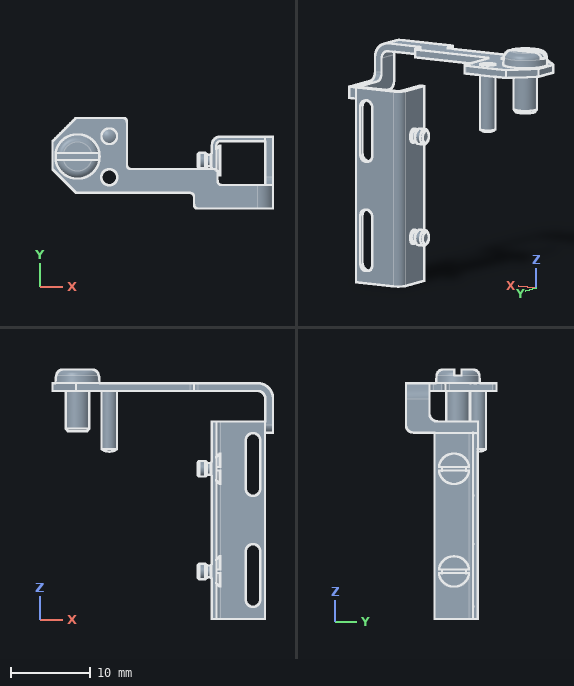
import cadquery as cq
import math

length = 27.9
width = 11.5
sheet = 1.0
plate_top = 29.82
plate_bottom = plate_top - sheet
bend_radius = 2.0
corner_radius = 0.5
nose_chamfer = 3.0
head_length = 9.45
arm_front = 2.0
arm_back = 5.02
foot_start = 17.9
foot_back_start = 20.9
foot_width = 3.0
flange_bottom = 23.55
flange_radius = 1.0
flange_inner = length - sheet

angle_height = 25.0
angle_left = 20.15
angle_front = 3.6
angle_back = 9.12
angle_sheet = 0.6
angle_inner_radius = 0.5
slot_width = 1.8
slot_length = 7.9
slot_x = 25.35
slot_heights = (5.52, 19.55)

screw_x = 3.2
screw_y = 6.6
screw_diameter = 3.0
screw_tip_diameter = 2.4
screw_bottom = 23.73
screw_tip_height = 0.38
screw_head_top = 31.55
screw_head_base_diameter = 5.62
screw_head_rim_diameter = 5.45
screw_head_rim_z = 30.77
screw_crown_diameter = 3.65
screw_slot_width = 0.88
screw_slot_depth = 0.75

pin_diameter = 2.0
pin_x = 7.2
pin_y = 9.15
pin_bottom = 21.15
pin_dome = 0.38
open_hole_y = 3.98

stud_y = 6.1
stud_heights = (6.03, 19.0)
stud_start = 18.35
stud_knob_diameter = 2.0
stud_neck_diameter = 1.5
stud_chamfer = (stud_knob_diameter - stud_neck_diameter) / 2
stud_knob_end = 19.3
stud_cone_start = 19.98
stud_head_diameter = 3.85
stud_cone_end = stud_cone_start + (stud_head_diameter - stud_neck_diameter) / 2
stud_end = 21.27
stud_slot_width = 0.45


def arc_midpoint(center, radius, degrees):
    """Point on a circle, used as the middle of a quarter arc."""
    turn = math.radians(degrees)
    return (center[0] + radius * math.cos(turn), center[1] + radius * math.sin(turn))


def revolve_about_z(profile, x, y):
    """Turn a closed (radius, Z) profile about the vertical axis through (x, y)."""
    return profile.close().revolve(360, (0, 0, 0), (0, 1, 0)).translate((x, y, 0))


def make_bracket():
    plan = (
        cq.Workplane("XY")
        .polyline([
            (0, arm_front + nose_chamfer),
            (nose_chamfer, arm_front),
            (foot_start, arm_front),
            (foot_start, 0),
            (length, 0),
            (length, foot_width),
            (foot_back_start, foot_width),
            (foot_back_start, arm_back),
            (head_length, arm_back),
            (head_length, width),
            (nose_chamfer, width),
            (0, width - nose_chamfer),
        ])
        .close()
        .extrude(plate_top)
    )
    rounded_corners = [
        (foot_start, arm_front),
        (foot_start, 0),
        (foot_back_start, foot_width),
        (foot_back_start, arm_back),
        (head_length, arm_back),
        (head_length, width),
    ]
    for x, y in rounded_corners:
        plan = plan.edges(cq.selectors.NearestToPointSelector((x, y, plate_top / 2))).fillet(corner_radius)

    bend_center = (length - bend_radius, plate_top - bend_radius)
    section = (
        cq.Workplane("XZ")
        .moveTo(0, plate_top)
        .lineTo(bend_center[0], plate_top)
        .threePointArc(arc_midpoint(bend_center, bend_radius, 45), (length, bend_center[1]))
        .lineTo(length, flange_bottom)
        .lineTo(flange_inner, flange_bottom)
        .lineTo(flange_inner, bend_center[1])
        .threePointArc(
            arc_midpoint(bend_center, bend_radius - sheet, 45), (bend_center[0], plate_bottom)
        )
        .lineTo(0, plate_bottom)
        .close()
        .extrude(-width)
    )
    bracket = plan.intersect(section)

    blend_center = (foot_width + flange_radius, angle_height + flange_radius)
    tab = (
        cq.Workplane("YZ", origin=(flange_inner, 0, 0))
        .moveTo(foot_width, flange_bottom)
        .lineTo(angle_back, flange_bottom)
        .lineTo(angle_back, angle_height)
        .lineTo(blend_center[0], angle_height)
        .threePointArc(arc_midpoint(blend_center, flange_radius, 225), (foot_width, blend_center[1]))
        .close()
        .extrude(sheet)
    )
    bracket = bracket.union(tab)
    lower_corner = cq.selectors.NearestToPointSelector((length - sheet / 2, 0, flange_bottom))
    bracket = bracket.edges(lower_corner).fillet(flange_radius)

    holes = [
        (screw_x, screw_y, screw_diameter),
        (pin_x, pin_y, pin_diameter),
        (pin_x, open_hole_y, pin_diameter),
    ]
    for x, y, diameter in holes:
        hole = cq.Workplane("XY", origin=(x, y, plate_bottom)).circle(diameter / 2).extrude(sheet)
        bracket = bracket.cut(hole)
    return bracket


def make_screw():
    crown = screw_crown_diameter / 2
    rim = screw_head_rim_diameter / 2
    crown_height = screw_head_top - screw_head_rim_z
    crown_arc_radius = ((rim - crown) ** 2 + crown_height ** 2) / (2 * crown_height)
    crown_center = (crown, screw_head_top - crown_arc_radius)
    profile = (
        cq.Workplane("XZ")
        .moveTo(0, screw_bottom)
        .lineTo(screw_tip_diameter / 2, screw_bottom)
        .lineTo(screw_diameter / 2, screw_bottom + screw_tip_height)
        .lineTo(screw_diameter / 2, plate_top)
        .lineTo(screw_head_base_diameter / 2, plate_top)
        .lineTo(rim, screw_head_rim_z)
        .threePointArc(arc_midpoint(crown_center, crown_arc_radius, 45), (crown, screw_head_top))
        .lineTo(0, screw_head_top)
    )
    screw = revolve_about_z(profile, screw_x, screw_y)
    slot = (
        cq.Workplane("XY", origin=(screw_x, screw_y, screw_head_top - screw_slot_depth))
        .rect(screw_head_base_diameter, screw_slot_width)
        .extrude(screw_slot_depth)
    )
    return screw.cut(slot)


def make_pin():
    radius = pin_diameter / 2
    pin_top = plate_top
    dome_radius = (radius ** 2 + pin_dome ** 2) / (2 * pin_dome)
    half_chord = radius / 2
    half_drop = dome_radius - math.sqrt(dome_radius ** 2 - half_chord ** 2)
    profile = (
        cq.Workplane("XZ")
        .moveTo(0, pin_bottom)
        .threePointArc((half_chord, pin_bottom + half_drop), (radius, pin_bottom + pin_dome))
        .lineTo(radius, pin_top - pin_dome)
        .threePointArc((half_chord, pin_top - half_drop), (0, pin_top))
    )
    return revolve_about_z(profile, pin_x, pin_y)


def make_stud_blank(height):
    """Stud without its driver slot; also the tool for its hole in the angle."""
    neck = stud_neck_diameter / 2
    knob = stud_knob_diameter / 2
    head = stud_head_diameter / 2
    return (
        cq.Workplane("XY")
        .polyline([
            (stud_start, 0),
            (stud_start, neck),
            (stud_start + stud_chamfer, knob),
            (stud_knob_end, knob),
            (stud_knob_end + stud_chamfer, neck),
            (stud_cone_start, neck),
            (stud_cone_end, head),
            (stud_end, head),
            (stud_end, 0),
        ])
        .close()
        .revolve(360, (0, 0, 0), (1, 0, 0))
        .translate((0, stud_y, height))
    )


def make_stud(height):
    slot_floor = angle_left + angle_sheet
    slot = cq.Workplane("XY").box(
        stud_end - slot_floor, stud_head_diameter, stud_slot_width, centered=(False, True, True)
    )
    return make_stud_blank(height).cut(slot.translate((slot_floor, stud_y, height)))


def make_angle():
    outer_radius = angle_inner_radius + angle_sheet
    bend_center = (angle_left + outer_radius, angle_back - outer_radius)
    inner_x = angle_left + angle_sheet
    inner_y = angle_back - angle_sheet
    angle = (
        cq.Workplane("XY")
        .moveTo(angle_left, angle_front)
        .lineTo(angle_left, bend_center[1])
        .threePointArc(arc_midpoint(bend_center, outer_radius, 135), (bend_center[0], angle_back))
        .lineTo(flange_inner, angle_back)
        .lineTo(flange_inner, inner_y)
        .lineTo(bend_center[0], inner_y)
        .threePointArc(arc_midpoint(bend_center, angle_inner_radius, 135), (inner_x, bend_center[1]))
        .lineTo(inner_x, angle_front)
        .close()
        .extrude(angle_height)
    )
    slots = (
        cq.Workplane("XZ", origin=(0, angle_back, 0))
        .pushPoints([(slot_x, height) for height in slot_heights])
        .slot2D(slot_length, slot_width, 90)
        .extrude(angle_sheet)
    )
    angle = angle.cut(slots)

    for height in stud_heights:
        angle = angle.cut(make_stud_blank(height))
    return angle


bracket = make_bracket()
screw = make_screw()
pin = make_pin()
angle = make_angle()
studs = [make_stud(height) for height in stud_heights]

result = cq.Compound.makeCompound([
    bracket.val(),
    screw.val(),
    pin.val(),
    angle.val(),
    *[stud.val() for stud in studs],
])